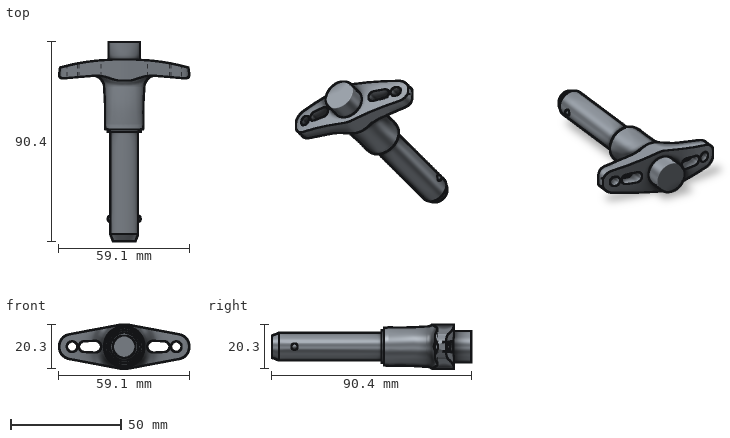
import cadquery as cq
import math


shank_radius = 6.35
shank_length = 49.62
tip_radius = 5.1
tip_length = 3.3
ball_radius = 1.45
ball_center_x = 6.05
ball_to_end = 10.25

collar_radius = 7.5
collar_length = 1.1
sleeve_end_radius = 8.6
sleeve_end_y = 3.3
sleeve_lower_radius = 8.82
sleeve_upper_y = 20.2
sleeve_upper_radius = 9.2
sleeve_waist_radius = 8.77

button_radius = 7.2
button_top_y = 40.8
button_edge_radius = 0.3

handle_length = 59.12
handle_width = 20.32
end_radius = 5.75
crown_radius = 9.525

handle_top_y = 32.81
top_flat_half_width = 3.0
top_arc_radius = 95.5
underside_slope = 0.1
underside_radius = 15.0
underside_y = 25.45
end_draft_radius = 29.2
end_draft_y = 28.7
end_fillet_radius = 1.8
neck_radius = 9.2
neck_fillet_y = 21.0

lanyard_hole_x = 23.6
lanyard_hole_radius = 2.35
slot_outer_x = 20.5
slot_inner_x = 10.5
slot_outer_radius = 2.38
slot_inner_radius = 2.6


def revolve_about_pin(profile):
    """Turn a closed (radius, y) profile about the pin axis."""
    return profile.close().revolve(360, (0, 0, 0), (0, 1, 0))


def extrude_along_pin(sketch):
    """Extrude an XZ sketch symmetrically, far enough to pass the whole handle."""
    return sketch.extrude(2 * button_top_y, both=True)


def pin_and_sleeve():
    waist_y = (sleeve_end_y + sleeve_upper_y) / 2
    profile = (
        cq.Workplane("XY")
        .moveTo(0, -shank_length)
        .lineTo(tip_radius, -shank_length)
        .lineTo(shank_radius, tip_length - shank_length)
        .lineTo(shank_radius, 0)
        .lineTo(collar_radius, 0)
        .lineTo(collar_radius, collar_length)
        .lineTo(sleeve_end_radius, collar_length)
        .lineTo(sleeve_lower_radius, sleeve_end_y)
        .threePointArc((sleeve_waist_radius, waist_y), (sleeve_upper_radius, sleeve_upper_y))
        .lineTo(neck_radius, neck_fillet_y)
        .lineTo(neck_radius, underside_y)
        .lineTo(0, underside_y)
    )
    return revolve_about_pin(profile)


def locking_ball(side):
    ball_y = ball_to_end - shank_length
    return cq.Workplane("XY").sphere(ball_radius).translate((side * ball_center_x, ball_y, 0))


def button():
    height = button_top_y - underside_y
    stem = cq.Workplane("XZ", origin=(0, underside_y, 0)).circle(button_radius).extrude(-height)
    return stem.faces(">Y").edges().fillet(button_edge_radius)


def handle_outline():
    """Lozenge outline: a crown arc top and bottom, and an end arc at each wing tip."""
    end_x = handle_length / 2 - end_radius
    crown_z = handle_width / 2 - crown_radius
    span = math.hypot(end_x, crown_z)
    flank_angle = math.asin((crown_radius - end_radius) / span) + math.atan2(crown_z, end_x)
    nx = math.sin(flank_angle)
    nz = math.cos(flank_angle)
    crown_point = (crown_radius * nx, crown_z + crown_radius * nz)
    end_point = (end_x + end_radius * nx, end_radius * nz)
    return (
        cq.Workplane("XZ")
        .moveTo(-crown_point[0], crown_point[1])
        .threePointArc((0, handle_width / 2), crown_point)
        .lineTo(*end_point)
        .threePointArc((handle_length / 2, 0), (end_point[0], -end_point[1]))
        .lineTo(crown_point[0], -crown_point[1])
        .threePointArc((0, -handle_width / 2), (-crown_point[0], -crown_point[1]))
        .lineTo(-end_point[0], -end_point[1])
        .threePointArc((-handle_length / 2, 0), (-end_point[0], end_point[1]))
        .close()
    )


def handle_turned_form():
    """Turned form of the handle: drafted rim, rounded lower rim, conical underside, flared neck."""
    tilt = math.atan(underside_slope)
    fillet_x = handle_length / 2 - end_fillet_radius
    fillet_offset = end_fillet_radius / math.cos(tilt)
    fillet_y = underside_y - underside_slope * (fillet_x - underside_radius) + fillet_offset
    diagonal = tilt - math.pi / 4

    def fillet_point(angle):
        return (
            fillet_x + end_fillet_radius * math.cos(angle),
            fillet_y + end_fillet_radius * math.sin(angle),
        )

    profile = (
        cq.Workplane("XY")
        .moveTo(0, handle_top_y)
        .lineTo(end_draft_radius, handle_top_y)
        .lineTo(end_draft_radius, end_draft_y)
        .lineTo(*fillet_point(tilt))
        .threePointArc(fillet_point(diagonal), fillet_point(tilt - math.pi / 2))
        .lineTo(underside_radius, underside_y)
        .tangentArcPoint((neck_radius, neck_fillet_y), relative=False)
        .lineTo(0, neck_fillet_y)
    )
    return revolve_about_pin(profile)


def handle_top_form():
    """Prism along Z under the arched top: a flat crest with a tangent arc falling to each side."""
    tip_x = handle_length / 2

    def arc_point(x):
        run = x - top_flat_half_width
        return (x, handle_top_y - top_arc_radius + math.sqrt(top_arc_radius**2 - run**2))

    mid_point = arc_point((top_flat_half_width + tip_x) / 2)
    tip_point = arc_point(tip_x)
    return (
        cq.Workplane("XY")
        .moveTo(-top_flat_half_width, handle_top_y)
        .lineTo(top_flat_half_width, handle_top_y)
        .threePointArc(mid_point, tip_point)
        .lineTo(tip_x, 0)
        .lineTo(-tip_x, 0)
        .lineTo(-tip_x, tip_point[1])
        .threePointArc((-mid_point[0], mid_point[1]), (-top_flat_half_width, handle_top_y))
        .close()
        .extrude(handle_width, both=True)
    )


def lanyard_hole(side):
    return extrude_along_pin(
        cq.Workplane("XZ").center(side * lanyard_hole_x, 0).circle(lanyard_hole_radius)
    )


def wing_slot(side):
    """Slot with round ends, slightly wider at its inner end."""
    outer_x = slot_outer_x - slot_outer_radius
    inner_x = slot_inner_x + slot_inner_radius
    return extrude_along_pin(
        cq.Workplane("XZ")
        .moveTo(side * inner_x, slot_inner_radius)
        .lineTo(side * outer_x, slot_outer_radius)
        .threePointArc((side * slot_outer_x, 0), (side * outer_x, -slot_outer_radius))
        .lineTo(side * inner_x, -slot_inner_radius)
        .threePointArc((side * slot_inner_x, 0), (side * inner_x, slot_inner_radius))
        .close()
    )


handle = handle_turned_form()
handle = handle.intersect(extrude_along_pin(handle_outline()))
handle = handle.intersect(handle_top_form())
for wing in (-1, 1):
    handle = handle.cut(lanyard_hole(wing)).cut(wing_slot(wing))

result = handle.union(pin_and_sleeve()).union(button())
for wing in (-1, 1):
    result = result.union(locking_ball(wing))